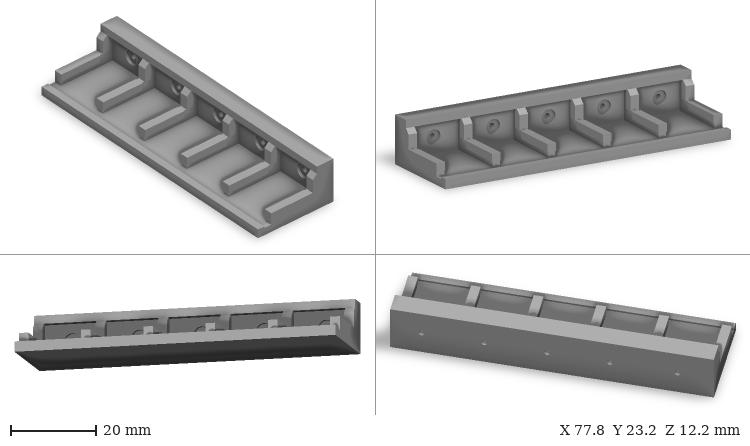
import cadquery as cq

total_length = 77.75
depth = 23.25
height = 12.2
segment_count = 5

rib_width = 2.3
pitch = (total_length - rib_width) / segment_count
pocket_width = pitch - rib_width

floor_z = 2.0
lip_z = 2.5
rail_z = 5.3
overhang_z = 10.2

lip_depth = 1.95
rail_front_y = 4.05
rail_back_y = depth - 6.3
top_front_y = depth - 5.05
pocket_back_y = depth - 3.1
rib_chamfer = top_front_y - rail_back_y

relief_depth = 0.2
relief_band = 1.25
relief_corner_overlap = 0.8
relief_rail_z = floor_z + relief_band
relief_corner_y = rail_back_y - relief_corner_overlap
relief_wall_y = pocket_back_y - relief_band

hole_diameter = 1.5
counterbore_diameter = 3.7
counterbore_depth = 0.8
hole_z = height / 2


def extrude_x(profile, start_x, length):
    """Extrude a closed outline of (y, z) points along +X."""
    return cq.Workplane("YZ").workplane(offset=start_x).polyline(profile).close().extrude(length)


def segment_blank(start_x, length):
    """Full rib cross-section over the whole length of a segment."""
    profile = [
        (0, 0),
        (depth, 0),
        (depth, height),
        (top_front_y, height),
        (top_front_y, overhang_z),
        (rail_back_y, overhang_z - rib_chamfer),
        (rail_back_y, rail_z),
        (rail_front_y, rail_z),
        (rail_front_y, floor_z),
        (lip_depth, floor_z),
        (lip_depth, lip_z),
        (0, lip_z),
    ]
    return extrude_x(profile, start_x, length)


def pocket(start_x):
    """Space between two ribs, reaching back under the overhang."""
    profile = [
        (lip_depth, floor_z),
        (pocket_back_y, floor_z),
        (pocket_back_y, overhang_z),
        (lip_depth, overhang_z),
    ]
    return extrude_x(profile, start_x, pocket_width)


def side_relief(start_x):
    """Stepped L-shaped clearance, slightly wider than the pocket on each side."""
    profile = [
        (lip_depth, floor_z),
        (pocket_back_y, floor_z),
        (pocket_back_y, overhang_z),
        (relief_wall_y, overhang_z),
        (relief_wall_y, rail_z),
        (relief_corner_y, rail_z),
        (relief_corner_y, relief_rail_z),
        (lip_depth, relief_rail_z),
    ]
    return extrude_x(profile, start_x - relief_depth, pocket_width + 2 * relief_depth)


def screw_hole(center_x):
    """Counterbored hole running through the back wall along +Y."""
    face = cq.Workplane("XZ", origin=(center_x, pocket_back_y, hole_z))
    through = face.circle(hole_diameter / 2).extrude(pocket_back_y - depth)
    counterbore = face.circle(counterbore_diameter / 2).extrude(-counterbore_depth)
    return through.union(counterbore)


def holder_segment(index):
    """One holder segment, including the relief of the pocket to its right."""
    pocket_x = rib_width + index * pitch
    start_x = 0 if index == 0 else pocket_x
    end_x = pocket_x + pitch
    segment = segment_blank(start_x, end_x - start_x)
    segment = segment.cut(pocket(pocket_x)).cut(side_relief(pocket_x))
    if index < segment_count - 1:
        segment = segment.cut(side_relief(end_x))
    return segment.cut(screw_hole((start_x + end_x) / 2))


holder_segments = [holder_segment(index).val() for index in range(segment_count)]

result = cq.Compound.makeCompound(holder_segments)